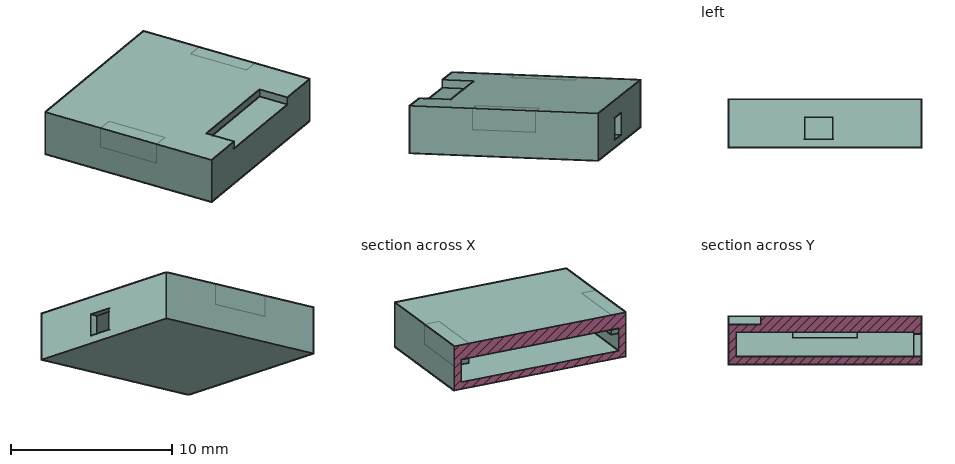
import cadquery as cq

side = 12.0
height = 3.0
wall = 0.5

pad_length = 4.03
pad_width = 1.02
pad_height = 1.33

notch_length = 2.0
notch_width = 6.5
notch_depth = 0.5

chamber_side = side - 2 * wall
chamber_height = height - notch_depth - 2 * wall

port_width = 1.75
port_height = 1.38
port_center_y = 0.38


def block(size_x, size_y, size_z, center_x, center_y, bottom):
    """Axis-aligned block placed by its XY centre and its underside."""
    box = cq.Workplane("XY").box(size_x, size_y, size_z, centered=(True, True, False))
    return box.translate((center_x, center_y, bottom))


body = block(side, side, height, 0, 0, 0)
chamber = block(chamber_side, chamber_side, chamber_height, 0, 0, wall)
notch_x = (side - notch_length) / 2
notch = block(notch_length, notch_width, notch_depth, notch_x, 0, height - notch_depth)
port = block(wall, port_width, port_height, (wall - side) / 2, port_center_y, wall)
case = body.cut(chamber).cut(notch).cut(port)

pad_y = (side - pad_width) / 2
pad_bottom = height - pad_height
pads = [block(pad_length, pad_width, pad_height, 0, y, pad_bottom) for y in (-pad_y, pad_y)]

for pad in pads:
    case = case.cut(pad)
for pad in pads:
    case = case.union(pad, clean=False)

result = case